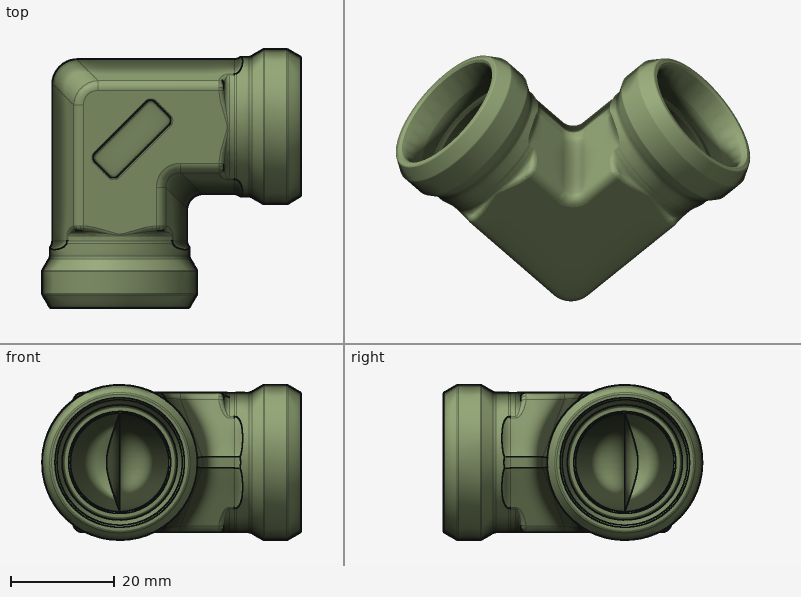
import math

import cadquery as cq

port_length = 35.0

body_half_height = 13.5
body_half_width = 13.05
side_band_half_height = 1.07
side_slope = 20.4
body_edge_radius = 2.0
outer_corner_radius = 5.0
inner_corner_radius = 3.0

shoulder_start = 20.1
shoulder_radius = 1.0
neck_radius = 13.45
neck_end = 22.06
flare_radius = 2.0

collar_radius = 13.5
ring_radius = 15.0
ring_cone_end = 27.8
ring_chamfer_start = 32.3
cone_angle = 30.0
cone_root_radius = 1.2
ring_edge_radius = 0.5
end_edge_radius = 0.4

bore_radius = 19.0 / 2
drill_point_angle = 140.0
tube_socket_radius = 22.22 / 2
tube_socket_depth = 7.5
seat_mouth_radius = 12.1
seat_half_angle = 12.0
mouth_chamfer = 0.4
bore_edge_chamfer = 0.35

recess_angle = 45.0
recess_length = 16.4
recess_width = 6.25
recess_depth = 0.65
recess_corner_radius = 1.2
recess_edge_radius = 0.3
recess_offset = 3.38

slope = math.radians(side_slope)
top_half_width = body_half_width - (body_half_height - side_band_half_height) * math.tan(slope)
ridge_half_width = body_half_width + side_band_half_height * math.tan(slope)
side_distance = body_half_width * math.cos(slope) + side_band_half_height * math.sin(slope)
cone_slope = math.tan(math.radians(cone_angle))
ring_cone_start = ring_cone_end - (ring_radius - collar_radius) / cone_slope
end_face_radius = ring_radius - (port_length - ring_chamfer_start) * cone_slope
flare_end = neck_end + flare_radius
clearance = 20.0
pick_margin = 0.01


def turned(profile):
    """Revolve a closed (axial, radial) profile about the X axis."""
    return profile.close().revolve(360, (0, 0, 0), (1, 0, 0))


def to_second_port(shape):
    """Turn a shape on the X port half a turn about a diagonal, onto the -Y port."""
    return shape.rotate((0, 0, 0), (1, -1, 0), 180)


def elbow(section):
    """Sweep a section of the -Y leg round the mitred elbow and round both mitre corners."""
    path = cq.Workplane("XY").moveTo(0, -neck_end).lineTo(0, 0).lineTo(neck_end, 0)
    swept = section.sweep(path, transition="right").clean()
    inside = body_half_width / 2
    outer_zone = cq.selectors.BoxSelector(
        (-clearance, inside, -clearance), (-inside, clearance, clearance)
    )
    inner_zone = cq.selectors.BoxSelector(
        (inside, -clearance, -clearance), (clearance, -inside, clearance)
    )
    swept = swept.edges("not #Z").edges(outer_zone).fillet(outer_corner_radius)
    return swept.edges("not #Z").edges(inner_zone).fillet(inner_corner_radius)


def make_body():
    """Sloping upper and lower halves, trimmed to the flat band along their sides."""
    leg_end = cq.Workplane("XZ", origin=(0, -neck_end, 0))
    long_edges = cq.selectors.BoxSelector(
        (-clearance, -neck_end + pick_margin, -clearance),
        (neck_end - pick_margin, clearance, clearance),
    )
    upper_section = leg_end.polyline([
        (ridge_half_width, 0),
        (top_half_width, body_half_height),
        (-top_half_width, body_half_height),
        (-ridge_half_width, 0),
    ]).close()
    upper = elbow(upper_section).faces(">Z").edges(long_edges).fillet(body_edge_radius)
    lower = upper.mirror("XY")
    band = elbow(leg_end.rect(2 * body_half_width, 2 * body_half_height))
    return upper.union(lower).intersect(band)


def make_shoulder_cutter():
    """Turned cut that ends the body corners and leaves the round neck."""
    root = shoulder_start + shoulder_radius
    middle = shoulder_radius * (1 - math.sqrt(0.5))
    return turned(
        cq.Workplane("XY")
        .moveTo(neck_end, neck_radius)
        .lineTo(root, neck_radius)
        .threePointArc(
            (shoulder_start + middle, neck_radius + middle),
            (shoulder_start, neck_radius + shoulder_radius),
        )
        .lineTo(shoulder_start, clearance)
        .lineTo(neck_end, clearance)
    )


def cut_shoulders(body):
    """Cut both shoulders and round their edges; each tangent chain is picked by its straight edges."""
    cutter = make_shoulder_cutter()
    body = body.cut(cutter).cut(to_second_port(cutter))
    near = shoulder_start - pick_margin
    far = shoulder_start + pick_margin
    x_end = cq.selectors.BoxSelector((near, -clearance, -clearance), (far, clearance, clearance))
    y_end = cq.selectors.BoxSelector((-clearance, -far, -clearance), (clearance, -near, clearance))
    return body.edges("%LINE").edges(x_end + y_end).fillet(shoulder_radius)


def flare_profile(distance):
    """Region outside a side at the given distance that flares out with a quarter arc."""
    run = flare_radius * math.sqrt(0.5)
    return (
        cq.Workplane("XY")
        .moveTo(neck_end, distance)
        .threePointArc(
            (neck_end + run, distance + flare_radius - run),
            (flare_end, distance + flare_radius),
        )
        .lineTo(flare_end, clearance)
        .lineTo(neck_end, clearance)
        .close()
    )


def make_port():
    """Turned collar and ring, flared where the collar meets the neck and the body sides."""
    port = turned(
        cq.Workplane("XY")
        .moveTo(neck_end, 0)
        .lineTo(neck_end, collar_radius)
        .lineTo(ring_cone_start, collar_radius)
        .lineTo(ring_cone_end, ring_radius)
        .lineTo(ring_chamfer_start, ring_radius)
        .lineTo(port_length, end_face_radius)
        .lineTo(port_length, 0)
    )

    def circles_at(position):
        near = (position - pick_margin, -clearance, -clearance)
        far = (position + pick_margin, clearance, clearance)
        return cq.selectors.BoxSelector(near, far, boundingbox=True)

    port = port.edges("%CIRCLE").edges(circles_at(ring_cone_start)).fillet(cone_root_radius)
    for position in (ring_cone_end, ring_chamfer_start):
        port = port.edges("%CIRCLE").edges(circles_at(position)).fillet(ring_edge_radius)
    port = port.edges("%CIRCLE").edges(circles_at(port_length)).fillet(end_edge_radius)

    port = port.cut(flare_profile(neck_radius).revolve(360, (0, 0, 0), (1, 0, 0)))
    sloping_cutter = flare_profile(side_distance).extrude(clearance, both=True)
    band_cutter = flare_profile(body_half_width).extrude(clearance, both=True)
    for half_turn in (0, 180):
        port = port.cut(band_cutter.rotate((0, 0, 0), (1, 0, 0), half_turn))
        for tilt in (-side_slope, side_slope):
            port = port.cut(sloping_cutter.rotate((0, 0, 0), (1, 0, 0), half_turn + tilt))
    return port


def make_bore():
    """Drilled bore with a conical bottom, stepped tube socket and conical seat."""
    drill_tip = bore_radius / math.tan(math.radians(drill_point_angle / 2))
    socket_floor = port_length - tube_socket_depth
    seat_start = port_length - mouth_chamfer
    seat_length = (seat_mouth_radius - tube_socket_radius) / math.tan(math.radians(seat_half_angle))
    return turned(
        cq.Workplane("XY")
        .moveTo(-drill_tip, 0)
        .lineTo(0, bore_radius)
        .lineTo(socket_floor - bore_edge_chamfer, bore_radius)
        .lineTo(socket_floor, bore_radius + bore_edge_chamfer)
        .lineTo(socket_floor, tube_socket_radius)
        .lineTo(seat_start - seat_length, tube_socket_radius)
        .lineTo(seat_start, seat_mouth_radius)
        .lineTo(port_length, seat_mouth_radius + mouth_chamfer)
        .lineTo(port_length, 0)
    )


def cut_recess(part):
    """Shallow marking recess with rounded floor and rim."""
    floor_height = body_half_height - recess_depth
    recess = (
        cq.Workplane("XY", origin=(0, -recess_offset, floor_height))
        .rect(recess_length, recess_width)
        .extrude(recess_depth)
        .edges("|Z").fillet(recess_corner_radius)
        .faces("<Z").edges().fillet(recess_edge_radius)
        .rotate((0, 0, 0), (0, 0, 1), recess_angle)
    )
    part = part.cut(recess)
    rim = part.faces(">Z").val().innerWires()[0].Edges()
    return part.newObject(rim).fillet(recess_edge_radius)


port = make_port()
bore = make_bore()

result = cut_recess(cut_shoulders(make_body()))
result = result.union(port).union(to_second_port(port))
result = result.cut(bore).cut(to_second_port(bore))